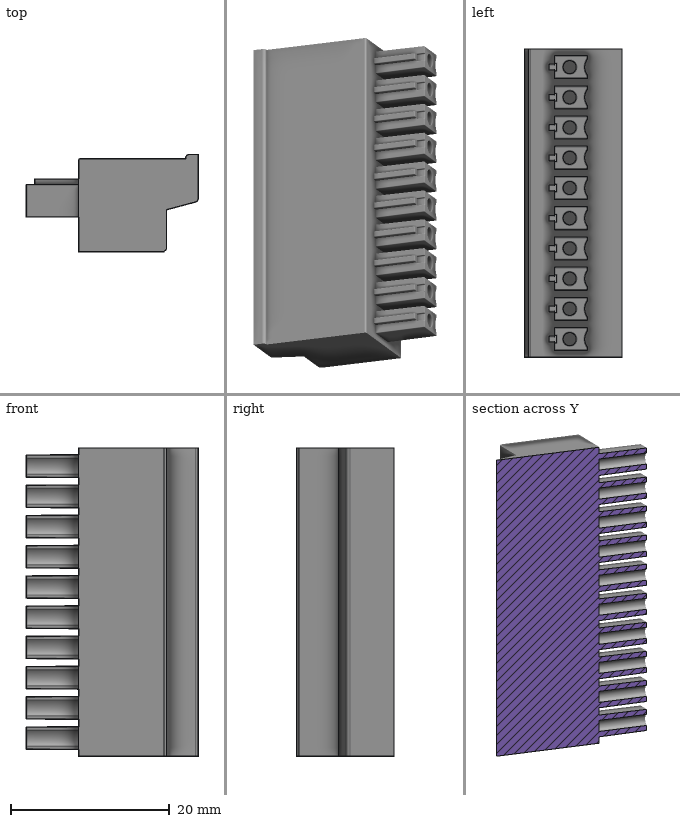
import cadquery as cq
import math

contact_count = 10
pitch = 3.81
end_margin = 2.3
housing_height = (contact_count - 1) * pitch + 2 * end_margin

housing_length = 15.1
housing_depth = 12.3
lip_length = 1.6
lip_rise = 0.53
lip_round = 0.45
step_length = 4.0
step_y = -7.0
overhang_angle = 15.0
overhang_round = 0.5
bottom_chamfer = 0.35
contact_face_round = 0.25

sleeve_length = 6.6
sleeve_top_y = -3.8
sleeve_bottom_y = -7.92
sleeve_tip_height = 2.83
sleeve_root_height = 2.92
scoop_chord = 2.0
scoop_sag = 0.33
bore_diameter = 1.65
bore_y = -5.7
bore_depth = sleeve_length
edge_round = 0.08

key_setback = 1.05
key_height = 0.75
key_top_y = -3.1
notch_height = 0.92
notch_depth = 0.25


def make_housing():
    step_x = housing_length - step_length
    overhang_y = step_y + step_length * math.tan(math.radians(overhang_angle))
    lip_x = housing_length - lip_length
    profile = [
        (0, -lip_rise),
        (lip_x, -lip_rise),
        (lip_x, 0),
        (housing_length, 0),
        (housing_length, overhang_y),
        (step_x, step_y),
        (step_x, -housing_depth),
        (0, -housing_depth),
    ]
    housing = cq.Workplane("XY").polyline(profile).close().extrude(housing_height)

    def vertical_edge(x, y):
        return housing.edges(cq.selectors.NearestToPointSelector((x, y, housing_height / 2)))

    housing = vertical_edge(lip_x, 0).fillet(lip_round)
    housing = vertical_edge(housing_length, overhang_y).fillet(overhang_round)
    housing = vertical_edge(0, -lip_rise).fillet(contact_face_round)
    return vertical_edge(step_x, -housing_depth).chamfer(bottom_chamfer)


def box_between(x_range, y_range, height):
    """Box centred on Z = 0 that spans the given X and Y ranges."""
    return (
        cq.Workplane("XY")
        .box(x_range[1] - x_range[0], y_range[1] - y_range[0], height)
        .translate((sum(x_range) / 2, sum(y_range) / 2, 0))
    )


def round_edges_except_at(body, sharp_x_positions):
    """Round every edge of the body that does not lie in one of the given planes of constant X."""

    def is_exposed(edge):
        box = edge.BoundingBox()
        return not any(
            max(abs(box.xmin - x), abs(box.xmax - x)) < edge_round / 2 for x in sharp_x_positions
        )

    return body.edges().filter(is_exposed).fillet(edge_round)


def make_sleeve():
    """One drafted sleeve centred on Z = 0, with its scoop, notch and key."""
    taper_outline = [
        (-sleeve_length, -sleeve_tip_height / 2),
        (0, -sleeve_root_height / 2),
        (0, sleeve_root_height / 2),
        (-sleeve_length, sleeve_tip_height / 2),
    ]
    sleeve = (
        cq.Workplane("XZ", origin=(0, sleeve_top_y, 0))
        .polyline(taper_outline)
        .close()
        .extrude(sleeve_top_y - sleeve_bottom_y)
    )
    scoop = (
        cq.Workplane("YZ", origin=(-sleeve_length, 0, 0))
        .moveTo(sleeve_bottom_y, -scoop_chord / 2)
        .threePointArc((sleeve_bottom_y + scoop_sag, 0), (sleeve_bottom_y, scoop_chord / 2))
        .close()
        .extrude(sleeve_length)
    )
    key_x = key_setback - sleeve_length
    notch_floor_y = sleeve_top_y - notch_depth
    notch = box_between((-sleeve_length, key_x), (notch_floor_y, sleeve_top_y), notch_height)
    key = box_between((key_x, 0), (notch_floor_y, key_top_y), key_height)
    sleeve = round_edges_except_at(sleeve.cut(scoop).cut(notch).cut(make_bore()), (0, key_x))
    return sleeve.union(round_edges_except_at(key, (0,)))


def make_bore():
    return (
        cq.Workplane("YZ", origin=(-sleeve_length, 0, 0))
        .center(bore_y, 0)
        .circle(bore_diameter / 2)
        .extrude(bore_depth)
    )


result = make_housing()
contact = make_sleeve()
for index in range(contact_count):
    contact_z = end_margin + index * pitch
    result = result.union(contact.translate((0, 0, contact_z)))